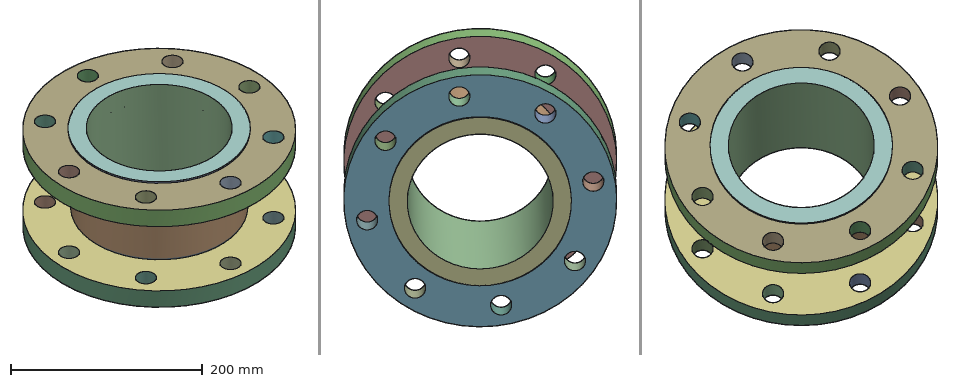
import cadquery as cq
import math

flange_diameter = 285.0
total_height = 130.0
flange_thickness = 21.5
raised_face_height = 2.0
raised_face_diameter = 190.5
bore_diameter = 152.2
body_diameter = 185.2
body_edge_radius = 2.5
neck_diameter = 155.0
neck_gap = 2.3
neck_blend_radius = 5.0
bolt_count = 8
bolt_hole_diameter = 22.0
bolt_circle_diameter = 240.0

face_level = total_height / 2
flange_outer_level = face_level - raised_face_height
flange_inner_level = flange_outer_level - flange_thickness
body_level = flange_inner_level - neck_gap


def disc(diameter, bottom, top):
    """Solid cylinder about the Z axis between two levels."""
    return cq.Workplane("XY").workplane(offset=bottom).circle(diameter / 2).extrude(top - bottom)


def flange():
    """Upper flange with its raised sealing face."""
    plate = disc(flange_diameter, flange_inner_level, flange_outer_level)
    return plate.union(disc(raised_face_diameter, flange_outer_level, face_level))


def body():
    """Sleeve between the flanges, its rims rounded and its shoulders blended up into a neck at each end."""
    body_radius = body_diameter / 2
    neck_radius = neck_diameter / 2
    blend_width = math.sqrt(neck_blend_radius**2 - (neck_blend_radius - neck_gap) ** 2)
    half_profile = (
        cq.Workplane("XZ")
        .lineTo(body_radius, 0)
        .lineTo(body_radius, body_level - body_edge_radius)
        .radiusArc((body_radius - body_edge_radius, body_level), -body_edge_radius)
        .lineTo(neck_radius + blend_width, body_level)
        .radiusArc((neck_radius, flange_inner_level), neck_blend_radius)
        .lineTo(0, flange_inner_level)
        .close()
    )
    upper_half = half_profile.revolve(360, (0, 0, 0), (0, 1, 0))
    return upper_half.union(upper_half.mirror("XY"))


upper_flange = flange()
solid = body().union(upper_flange).union(upper_flange.mirror("XY"))

bore = disc(bore_diameter, -face_level, face_level)
bolt_holes = (
    cq.Workplane("XY")
    .workplane(offset=-face_level)
    .polarArray(bolt_circle_diameter / 2, 180 / bolt_count, 360, bolt_count)
    .circle(bolt_hole_diameter / 2)
    .extrude(total_height)
)
result = solid.cut(bore).cut(bolt_holes).clean()